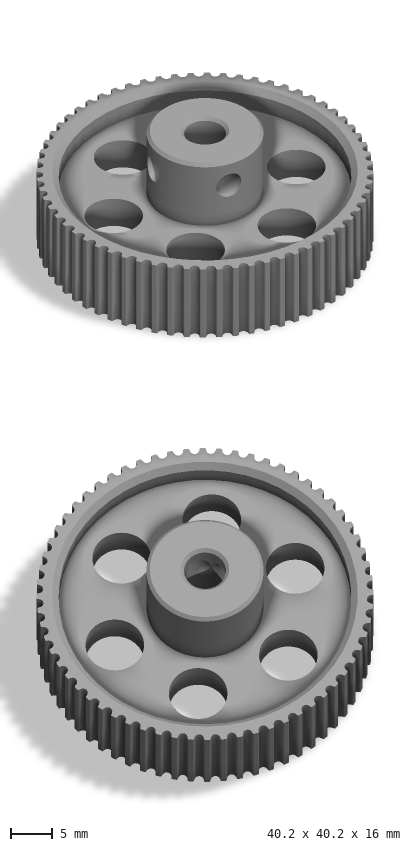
import cadquery as cq
import math

tooth_count = 64
belt_pitch = 2.0
pitch_line_offset = 0.254
rim_width = 10.0
tooth_tip_radius = 0.15

mouth_half_width = 0.747
mouth_distance = tooth_count * belt_pitch / (2 * math.pi) - pitch_line_offset
flank_top_half_width = 0.598
flank_top_depth = 0.1305
flank_radius = 1.0
root_half_width = 0.504
root_top_depth = 0.443
groove_depth = 0.764
outer_radius = math.hypot(mouth_distance, mouth_half_width)

recess_radius = 17.5
recess_depth = 3.0
recess_chamfer = 0.75

web_hole_count = 6
web_hole_diameter = 7.0
web_hole_circle_radius = 12.0
first_web_hole_angle = 90.0

hub_diameter = 14.0
hub_chamfer = 0.4
total_height = 16.0
bore_diameter = 5.0
bore_chamfer = 0.4

screw_hole_diameter = 3.3
screw_hole_rise = 2.5
screw_hole_height = rim_width + screw_hole_rise
screw_hole_directions = [(1, 0, 0), (0, -1, 0)]


def make_belt_groove():
    """Cutter for the groove on +X: round root, curved flanks and rounded tooth tips."""
    flank_top = mouth_distance - flank_top_depth
    root_top = mouth_distance - root_top_depth
    root_bottom = mouth_distance - groove_depth
    cutter_end = outer_radius + groove_depth
    return (
        cq.Workplane("XY")
        .moveTo(cutter_end, -mouth_half_width)
        .lineTo(mouth_distance, -mouth_half_width)
        .radiusArc((flank_top, -flank_top_half_width), -tooth_tip_radius)
        .radiusArc((root_top, -root_half_width), flank_radius)
        .threePointArc((root_bottom, 0), (root_top, root_half_width))
        .radiusArc((flank_top, flank_top_half_width), flank_radius)
        .radiusArc((mouth_distance, mouth_half_width), -tooth_tip_radius)
        .lineTo(cutter_end, mouth_half_width)
        .close()
        .extrude(rim_width)
    )


def make_toothed_rim():
    """Solid disc with belt grooves evenly spaced around it."""
    groove = make_belt_groove().val()
    grooves = cq.Workplane("XY").polarArray(0, 0, 360, tooth_count).eachpoint(groove)
    return cq.Workplane("XY").circle(outer_radius).extrude(rim_width).cut(grooves)


def make_recess():
    """Round pocket with a chamfered mouth, to be cut from the top rim face."""
    floor_height = rim_width - recess_depth
    mouth_radius = recess_radius + recess_chamfer
    return (
        cq.Workplane("XZ")
        .moveTo(0, floor_height)
        .lineTo(recess_radius, floor_height)
        .lineTo(recess_radius, rim_width - recess_chamfer)
        .lineTo(mouth_radius, rim_width)
        .lineTo(0, rim_width)
        .close()
        .revolve(360, (0, 0, 0), (0, 1, 0))
    )


def make_web_holes():
    """Ring of lightening holes running through the web."""
    return (
        cq.Workplane("XY")
        .polarArray(web_hole_circle_radius, first_web_hole_angle, 360, web_hole_count)
        .circle(web_hole_diameter / 2)
        .extrude(rim_width)
    )


def make_hub():
    """Hub standing on the web, with its top edge chamfered."""
    return (
        cq.Workplane("XY", origin=(0, 0, recess_depth))
        .circle(hub_diameter / 2)
        .extrude(total_height - recess_depth)
        .faces(">Z")
        .chamfer(hub_chamfer)
    )


def make_bore():
    """Through bore with a chamfer at the top of the hub and the bottom of the web."""
    bore_radius = bore_diameter / 2
    mouth_radius = bore_radius + bore_chamfer
    return (
        cq.Workplane("XZ")
        .moveTo(0, recess_depth)
        .lineTo(mouth_radius, recess_depth)
        .lineTo(bore_radius, recess_depth + bore_chamfer)
        .lineTo(bore_radius, total_height - bore_chamfer)
        .lineTo(mouth_radius, total_height)
        .lineTo(0, total_height)
        .close()
        .revolve(360, (0, 0, 0), (0, 1, 0))
    )


def make_screw_hole(direction):
    """Radial hole from the bore axis out through the hub wall."""
    axis_point = cq.Vector(0, 0, screw_hole_height)
    hole = cq.Solid.makeCylinder(
        screw_hole_diameter / 2, hub_diameter / 2, axis_point, cq.Vector(*direction)
    )
    return cq.Workplane(obj=hole)


top_recess = make_recess()
bottom_recess = top_recess.mirror("XY", (0, 0, rim_width / 2))

result = make_toothed_rim().cut(top_recess).cut(bottom_recess).cut(make_web_holes())
result = result.union(make_hub()).cut(make_bore())
for screw_hole_direction in screw_hole_directions:
    result = result.cut(make_screw_hole(screw_hole_direction))